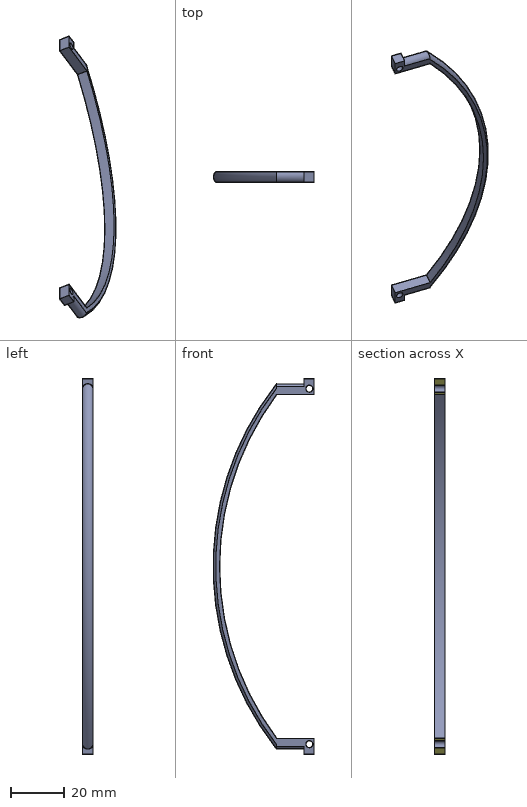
import cadquery as cq

width = 4.0
overall_height = 140.54
overall_depth = 37.81

foot_length = 3.8
foot_height = 6.0
leg_length = 14.0
leg_side_height = 3.0
crown_height = 1.0
hole_diameter = 2.5
hole_inset = 1.8
hole_height = 2.2

bow_inner_radius = 107.5
bow_side_height = 1.5

foot_outer_z = overall_height / 2
leg_inner_z = foot_outer_z - foot_height
bow_outer_radius = bow_inner_radius + bow_side_height + crown_height
bow_center_x = bow_outer_radius - overall_depth


def crowned_profile(plane, base, side_height):
    """Section with a flat base, two flanks and a crowned outer face, drawn on the given plane."""
    half = width / 2
    shoulder = base + side_height
    return (
        cq.Workplane(plane)
        .moveTo(-half, base)
        .lineTo(-half, shoulder)
        .threePointArc((0, shoulder + crown_height), (half, shoulder))
        .lineTo(half, base)
        .close()
    )


def make_bow():
    """Crowned section revolved about the bow centre, kept only in front of the legs."""
    section_plane = cq.Plane(origin=(bow_center_x, 0, 0), xDir=(0, 1, 0), normal=(0, 0, 1))
    section = crowned_profile(section_plane, bow_inner_radius, bow_side_height)
    ring = section.revolve(360, (0, 0, 0), (1, 0, 0))
    bow_depth = overall_depth - leg_length
    front_space = cq.Workplane("XY").box(bow_depth, width, overall_height).translate(
        (-leg_length - bow_depth / 2, 0, 0)
    )
    return ring.intersect(front_space)


def make_upper_end():
    """Straight crowned leg with its drilled foot."""
    leg_plane = cq.Plane(origin=(-leg_length, 0, 0), xDir=(0, 1, 0), normal=(1, 0, 0))
    leg = crowned_profile(leg_plane, leg_inner_z, leg_side_height).extrude(leg_length)
    foot = cq.Workplane("XY").box(foot_length, width, foot_height).translate(
        (-foot_length / 2, 0, leg_inner_z + foot_height / 2)
    )
    hole = (
        cq.Workplane("XZ")
        .center(-hole_inset, leg_inner_z + hole_height)
        .circle(hole_diameter / 2)
        .extrude(width, both=True)
    )
    return leg.union(foot).cut(hole)


upper_end = make_upper_end()
lower_end = upper_end.mirror("XY")
result = make_bow().union(upper_end).union(lower_end)